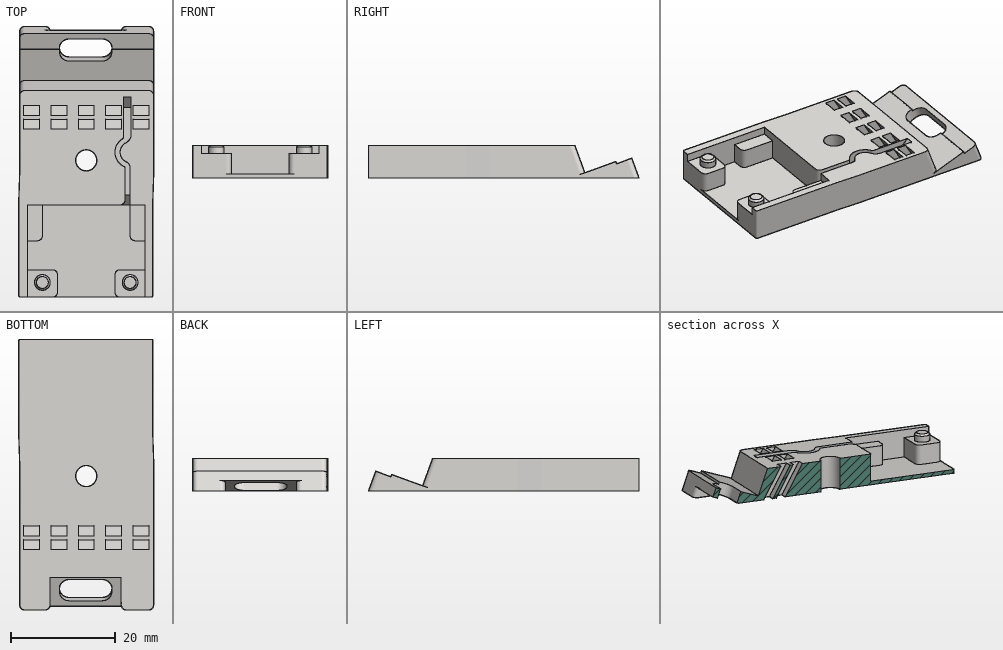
import cadquery as cq
import math

length = 51.7
height = 6.25
body_width = 25.65
side_jog = 0.15
jog_start_y = 18.7
jog_end_y = 23.25
corner_radius = 1.0
front_corner_radius = 0.3

lean_angle = math.radians(20)
lean = math.tan(lean_angle)
tail_tip_height = 3.8
ramp_start_y = 38.5
ramp_top_y = 47.25
step_depth = 0.45
main_top_end_y = 39.45

recess_half_width = 6.75
plate_thickness = 1.9
handle_length = 10.0
handle_width = 4.3
handle_corner_radius = 1.8
handle_x = -0.1
handle_y = 47.15
handle_z = 2.95

pocket_half_width = 11.2
pocket_end_y = 17.55
floor_z = 0.85
block_top_z = 4.7
tab_inner_x = 8.35
tab_start_y = 10.75
post_inner_x = 5.5
post_depth = 5.2
pin_x = 8.35
pin_y = 2.8
pin_diameter = 3.0
pin_chamfer = 0.35

hole_diameter = 4.0
hole_y = 26.1
window_width = 3.0
window_depth = 1.85
window_pitch = 5.2
window_columns = 5
window_row_ends_y = (34.7, 32.05)
window_lean = math.tan(math.radians(30))

groove_center_x = 8.5
groove_center_y = 27.65
groove_outer_radius = 3.0
groove_width = 1.0
groove_inner_radius = groove_outer_radius - groove_width
groove_end_y = 38.2
groove_end_left_x = 7.1
groove_end_right_x = 8.6
groove_depth = 2.0
groove_lip_z = 2.3
groove_bend_radius = 0.3


def side_prism(points, x_start, x_end):
    """Prism from x_start to x_end with an outline of (y, z) points."""
    prism = cq.Workplane("YZ").polyline(points).close().extrude(x_end - x_start)
    return prism.translate((x_start, 0, 0))


def block(x_start, x_end, y_start, y_end, z_start, z_end):
    size = (x_end - x_start, y_end - y_start, z_end - z_start)
    return cq.Workplane("XY").box(*size, centered=False).translate((x_start, y_start, z_start))


leaning_edges = cq.selectors.ParallelDirSelector(cq.Vector(0, -lean, 1))
rear_left_x = (side_jog - body_width) / 2
rear_right_x = rear_left_x + body_width
front_left_x = rear_left_x - side_jog
front_right_x = rear_right_x - side_jog


def make_main_body():
    end_y = main_top_end_y + height * lean
    plan = [
        (front_left_x, 0),
        (front_right_x, 0),
        (front_right_x, jog_start_y),
        (rear_right_x, jog_end_y),
        (rear_right_x, end_y),
        (rear_left_x, end_y),
        (rear_left_x, jog_end_y),
        (front_left_x, jog_start_y),
    ]
    side = [(0, 0), (end_y, 0), (main_top_end_y, height), (0, height)]
    body = cq.Workplane("XY").polyline(plan).close().extrude(height)
    body = body.intersect(side_prism(side, front_left_x, rear_right_x))
    body = body.edges("|Z and <Y").fillet(front_corner_radius)
    return body.edges(leaning_edges).fillet(corner_radius)


def make_tail():
    ramp_top_z = (ramp_top_y - ramp_start_y) * lean
    side = [
        (ramp_start_y, 0),
        (length, 0),
        (length - tail_tip_height * lean, tail_tip_height),
        (
            ramp_top_y + step_depth * math.sin(lean_angle),
            ramp_top_z - step_depth * math.cos(lean_angle),
        ),
        (ramp_top_y, ramp_top_z),
    ]
    tail = side_prism(side, rear_left_x, rear_right_x)
    tail = tail.cut(make_tail_recess())
    near_rear = cq.selectors.BoxSelector(
        (-body_width, length - tail_tip_height * lean, 0),
        (body_width, length, tail_tip_height),
    )
    tail = tail.edges(leaning_edges).edges(near_rear).fillet(corner_radius)
    return tail.cut(make_handle_opening())


def make_tail_recess():
    """Hollow under the tail that opens at the rear and leaves a plate parallel to the ramp."""
    plate_drop = (step_depth + plate_thickness) / math.cos(lean_angle)
    ceiling_start_y = ramp_start_y + plate_drop / lean
    side = [
        (ceiling_start_y, 0),
        (length, 0),
        (length, (length - ceiling_start_y) * lean),
    ]
    return side_prism(side, handle_x - recess_half_width, handle_x + recess_half_width)


def make_handle_opening():
    """Rounded opening square to the ramp."""
    opening = cq.Workplane("XY").box(handle_length, handle_width, 2 * height)
    opening = opening.edges("|Z").fillet(handle_corner_radius)
    opening = opening.rotate((0, 0, 0), (1, 0, 0), math.degrees(lean_angle))
    return opening.translate((handle_x, handle_y, handle_z))


def make_pocket():
    pocket = block(-pocket_half_width, pocket_half_width, 0, pocket_end_y, floor_z, height)
    for side in (-1, 1):
        tab_x = sorted((side * tab_inner_x, side * pocket_half_width))
        inner_edges = "|Z and <X" if side > 0 else "|Z and >X"
        tab = block(*tab_x, tab_start_y, pocket_end_y, floor_z, block_top_z)
        tab = tab.edges(inner_edges).edges("<Y").fillet(corner_radius)
        post_x = sorted((side * post_inner_x, side * pocket_half_width))
        post = block(*post_x, 0, post_depth, floor_z, block_top_z)
        post = post.edges(inner_edges).fillet(corner_radius)
        pin = cq.Workplane("XY").circle(pin_diameter / 2).extrude(height - block_top_z)
        pin = pin.faces(">Z").chamfer(pin_chamfer).translate((side * pin_x, pin_y, block_top_z))
        pocket = pocket.cut(tab).cut(post).cut(pin)
    return pocket


def make_windows():
    """Two rows of openings that lean backwards as they go down."""
    shift = height * window_lean
    windows = cq.Workplane("XY")
    for row_y in window_row_ends_y:
        side = [
            (row_y, height),
            (row_y + window_depth, height),
            (row_y + window_depth + shift, 0),
            (row_y + shift, 0),
        ]
        for column in range(window_columns):
            left_x = (column - (window_columns - 1) / 2) * window_pitch - window_width / 2
            windows = windows.add(side_prism(side, left_x, left_x + window_width))
    return windows.combine()


def make_groove():
    """Groove that bends around an arc, with 45 degree ends and a flared mouth at the pocket."""
    left_x = tab_inner_x - groove_width
    flare_mid = corner_radius * (1 - math.sqrt(0.5))

    def arc_reach(radius, x):
        return math.sqrt(radius**2 - (x - groove_center_x) ** 2)

    bends = [
        (groove_end_left_x, groove_center_y + arc_reach(groove_outer_radius, groove_end_left_x)),
        (left_x, groove_center_y - arc_reach(groove_outer_radius, left_x)),
        (tab_inner_x, groove_center_y - arc_reach(groove_inner_radius, tab_inner_x)),
        (groove_end_right_x, groove_center_y + arc_reach(groove_inner_radius, groove_end_right_x)),
    ]
    bend_radii = [
        groove_bend_radius,
        groove_bend_radius,
        groove_bend_radius + groove_width,
        groove_bend_radius + groove_end_right_x - groove_end_left_x,
    ]
    groove = (
        cq.Workplane("XY")
        .moveTo(groove_end_left_x, groove_end_y)
        .lineTo(*bends[0])
        .threePointArc((groove_center_x - groove_outer_radius, groove_center_y), bends[1])
        .lineTo(left_x, pocket_end_y + corner_radius)
        .threePointArc(
            (left_x - flare_mid, pocket_end_y + flare_mid),
            (left_x - corner_radius, pocket_end_y),
        )
        .lineTo(tab_inner_x, pocket_end_y)
        .lineTo(*bends[2])
        .threePointArc((groove_center_x - groove_inner_radius, groove_center_y), bends[3])
        .lineTo(groove_end_right_x, groove_end_y)
        .close()
        .extrude(height)
    )
    for (x, y), radius in zip(bends, bend_radii):
        groove = groove.edges(cq.selectors.NearestToPointSelector((x, y, height / 2))).fillet(radius)

    groove_floor_z = height - groove_depth
    depth_side = [
        (groove_end_y, height),
        (groove_end_y - groove_depth, groove_floor_z),
        (pocket_end_y + groove_floor_z - groove_lip_z, groove_floor_z),
        (pocket_end_y, groove_lip_z),
        (pocket_end_y, height),
    ]
    return groove.intersect(side_prism(depth_side, 0, pocket_half_width))


screw_hole = cq.Workplane("XY").center(0, hole_y).circle(hole_diameter / 2).extrude(height)

result = (
    make_main_body()
    .union(make_tail())
    .cut(make_pocket())
    .cut(screw_hole)
    .cut(make_windows())
    .cut(make_groove())
)